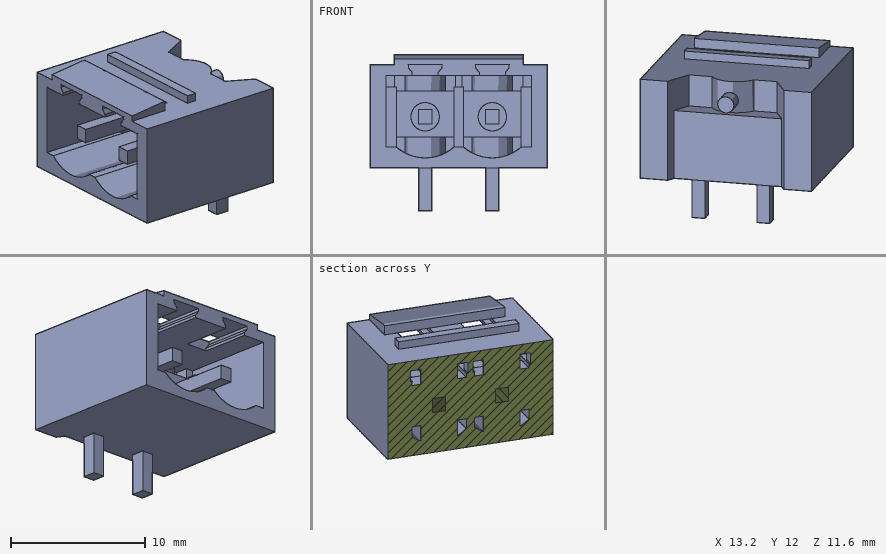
import cadquery as cq


WIDTH = 13.2
DEPTH = 12.0
HEIGHT = 7.7

PITCH = 5.0
CONTACT_XS = [-PITCH / 2, PITCH / 2]

PIN_WIDTH = 0.99
PIN_THICKNESS = 1.08
PIN_AXIS_Z = 3.81
PIN_TIP_Y = 0.98
PIN_REAR_Y = 10.55
PIN_TAIL = 3.2

CAVITY_WIDTH = 10.82
CAVITY_FLOOR_Z = 1.56
CAVITY_ROOF_Z = 6.88
CAVITY_BACK_Y = 8.71
SCALLOP_WIDTH = 4.29
SCALLOP_BOTTOM_Z = 0.75

DIVIDER_FRONT_Y = 6.6
DIVIDER_TOP_Z = 6.03
UPPER_DIVIDER_FRONT_Y = 7.65
UPPER_BAY_WIDTH = 4.54

CROSSBAR_FRONT_Y = 7.0
CROSSBAR_BOTTOM_Z = 2.32
CROSSBAR_TOP_Z = 5.72
COLUMN_RADIUS = 1.5
PIN_RECESS_RADIUS = 1.05
PIN_RECESS_DEPTH = 0.4

SLOT_TOP_WIDTH = 2.5
SLOT_NECK_WIDTH = 1.93
SLOT_SHOULDER_Z = 7.46
SLOT_NECK_Z = 7.1
SLOT_DEPTH = 4.15

LATCH_WIDTH = 9.61
LATCH_FRONT_HEIGHT = 0.42
LATCH_HEIGHT = 0.74
LATCH_CREST_Y = 2.8
LATCH_REAR_Y = 3.12
RIB_FRONT_Y = 5.27
RIB_REAR_Y = 6.03
RIB_HEIGHT = 0.61

NOTCH_REAR_WIDTH = 8.95
NOTCH_INNER_WIDTH = 6.77
NOTCH_INNER_Y = 9.95
BULGE_WIDTH = 3.22
BULGE_Y = 10.81
LEDGE_Y = 11.39
LEDGE_Z = 5.28
PEG_RADIUS = 0.62
PEG_AXIS_Z = 6.22


def box(x_range, y_range, z_range):
    """Box between the given (low, high) limits along each axis."""
    size = [high - low for low, high in (x_range, y_range, z_range)]
    corner = (x_range[0], y_range[0], z_range[0])
    return cq.Workplane("XY").box(*size, centered=False).translate(corner)


def centered_range(center, width):
    return (center - width / 2, center + width / 2)


def front_plane(x, z, y=0.0):
    """Workplane facing -Y with its origin at (x, y, z); negative extrusions go toward +Y."""
    return cq.Workplane("XZ", origin=(x, y, z))


def make_pin(x):
    """Square pin that runs back from the cavity and turns down through the underside."""
    x_range = centered_range(x, PIN_WIDTH)
    top_z = PIN_AXIS_Z + PIN_THICKNESS / 2
    contact = box(x_range, (PIN_TIP_Y, PIN_REAR_Y), (top_z - PIN_THICKNESS, top_z))
    tail = box(x_range, (PIN_REAR_Y - PIN_THICKNESS, PIN_REAR_Y), (-PIN_TAIL, top_z))
    return contact.union(tail)


def make_scallop(x):
    """Rounded trough in the cavity floor below one pin."""
    half = SCALLOP_WIDTH / 2
    return (
        front_plane(x, 0)
        .moveTo(-half, CAVITY_FLOOR_Z)
        .threePointArc((0, SCALLOP_BOTTOM_Z), (half, CAVITY_FLOOR_Z))
        .lineTo(half, PIN_AXIS_Z)
        .lineTo(-half, PIN_AXIS_Z)
        .close()
        .extrude(-CAVITY_BACK_Y)
    )


def make_dividers():
    """Low dividers, and set-back upper ones, between and beside the two bays."""
    y_back = CAVITY_BACK_Y
    cavity_x = centered_range(0, CAVITY_WIDTH)
    lower = box(cavity_x, (DIVIDER_FRONT_Y, y_back), (CAVITY_FLOOR_Z, DIVIDER_TOP_Z))
    upper = box(cavity_x, (UPPER_DIVIDER_FRONT_Y, y_back), (DIVIDER_TOP_Z, CAVITY_ROOF_Z))
    for x in CONTACT_XS:
        lower = lower.cut(box(centered_range(x, SCALLOP_WIDTH), (0, y_back), (0, DIVIDER_TOP_Z)))
        upper = upper.cut(box(centered_range(x, UPPER_BAY_WIDTH), (0, y_back), (0, HEIGHT)))
    return lower.union(upper)


def make_pin_support(x):
    """Half-round column and crossbar, with a round recess where the pin comes out."""
    column = (
        cq.Workplane("XY", origin=(x, CAVITY_BACK_Y, 0)).circle(COLUMN_RADIUS).extrude(CAVITY_ROOF_Z)
    )
    crossbar = box(
        centered_range(x, SCALLOP_WIDTH),
        (CROSSBAR_FRONT_Y, CAVITY_BACK_Y),
        (CROSSBAR_BOTTOM_Z, CROSSBAR_TOP_Z),
    )
    recess = (
        front_plane(x, PIN_AXIS_Z, CROSSBAR_FRONT_Y).circle(PIN_RECESS_RADIUS).extrude(-PIN_RECESS_DEPTH)
    )
    return column.union(crossbar).cut(recess)


def make_cavity():
    """Everything removed from the block for the mating cavity."""
    cavity = box(
        centered_range(0, CAVITY_WIDTH), (0, CAVITY_BACK_Y), (CAVITY_FLOOR_Z, CAVITY_ROOF_Z)
    )
    for x in CONTACT_XS:
        cavity = cavity.union(make_scallop(x))
    cavity = cavity.cut(make_dividers())
    for x in CONTACT_XS:
        cavity = cavity.cut(make_pin_support(x))
    return cavity


def make_coding_slot(x):
    """Slot through the roof, open to the mating face and narrowed by sloping shoulders."""
    top = SLOT_TOP_WIDTH / 2
    neck = SLOT_NECK_WIDTH / 2
    right_side = [(top, HEIGHT), (top, SLOT_SHOULDER_Z), (neck, SLOT_NECK_Z), (neck, CAVITY_ROOF_Z)]
    left_side = [(-px, pz) for px, pz in reversed(right_side)]
    return front_plane(x, 0).polyline(right_side + left_side).close().extrude(-SLOT_DEPTH)


def make_latch():
    """Ramp on the top face that rises from the mating face to a narrow flat crest."""
    profile = [
        (0, HEIGHT),
        (0, HEIGHT + LATCH_FRONT_HEIGHT),
        (LATCH_CREST_Y, HEIGHT + LATCH_HEIGHT),
        (LATCH_REAR_Y, HEIGHT + LATCH_HEIGHT),
        (LATCH_REAR_Y, HEIGHT),
    ]
    return cq.Workplane("YZ").polyline(profile).close().extrude(LATCH_WIDTH / 2, both=True)


def make_rear_notch():
    """Tapered notch: deep around the bulge above the ledge, shallow below it."""
    rear = NOTCH_REAR_WIDTH / 2
    inner = NOTCH_INNER_WIDTH / 2
    bulge = BULGE_WIDTH / 2
    notch = (
        cq.Workplane("XY")
        .moveTo(-rear, DEPTH)
        .lineTo(-inner, NOTCH_INNER_Y)
        .lineTo(-bulge, NOTCH_INNER_Y)
        .threePointArc((0, BULGE_Y), (bulge, NOTCH_INNER_Y))
        .lineTo(inner, NOTCH_INNER_Y)
        .lineTo(rear, DEPTH)
        .close()
        .extrude(HEIGHT)
    )
    ledge = box(centered_range(0, WIDTH), (0, LEDGE_Y), (0, LEDGE_Z))
    return notch.cut(ledge)


def make_peg():
    """Round peg from the bulge to the rear of the block."""
    return front_plane(0, PEG_AXIS_Z, DEPTH).circle(PEG_RADIUS).extrude(DEPTH - NOTCH_INNER_Y)


def make_housing(pins):
    block = box(centered_range(0, WIDTH), (0, DEPTH), (0, HEIGHT))
    rib = box(
        centered_range(0, LATCH_WIDTH), (RIB_FRONT_Y, RIB_REAR_Y), (HEIGHT, HEIGHT + RIB_HEIGHT)
    )
    housing = block.cut(make_cavity()).cut(make_rear_notch())
    housing = housing.union(make_peg()).union(make_latch()).union(rib)
    for x in CONTACT_XS:
        housing = housing.cut(make_coding_slot(x))
    for pin in pins:
        housing = housing.cut(pin)
    return housing


pins = [make_pin(x) for x in CONTACT_XS]
housing = make_housing(pins)

result = cq.Compound.makeCompound([housing.solids().val(), *[pin.solids().val() for pin in pins]])